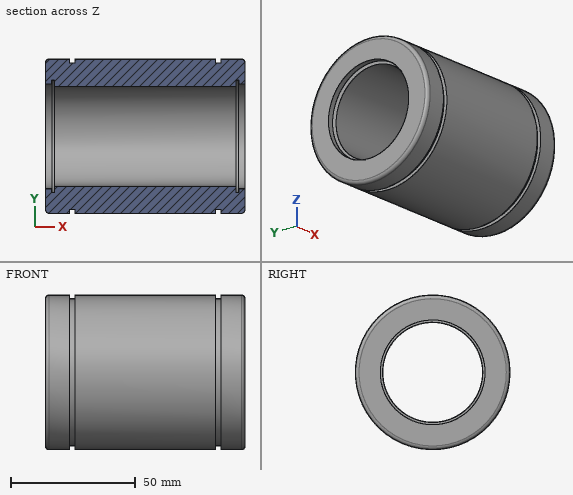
import cadquery as cq

length = 80.0
outer_diameter = 62.0
bore_diameter = 40.0
edge_radius = 1.5

groove_diameter = 59.0
groove_width = 2.15
groove_span = 60.6

mouth_diameter = 42.0
mouth_depth = 2.55
inner_groove_diameter = 45.0
inner_groove_width = 1.0


def cylinder(diameter, center_x, width):
    """Solid cylinder along X, centred at x = center_x."""
    start = center_x - width / 2
    return cq.Workplane("YZ", origin=(start, 0, 0)).circle(diameter / 2).extrude(width)


def sleeve():
    """Tube with rounded outer end edges."""
    body = cylinder(outer_diameter, 0, length).edges("%CIRCLE").fillet(edge_radius)
    return body.cut(cylinder(bore_diameter, 0, length))


def cut_outer_groove(body, side):
    """Cut the outer retaining-ring groove on the given side (-1 or +1) of mid-length."""
    center_x = side * (groove_span - groove_width) / 2
    ring = cylinder(outer_diameter, center_x, groove_width)
    ring = ring.cut(cylinder(groove_diameter, center_x, groove_width))
    return body.cut(ring)


def cut_bore_end(body, side):
    """Cut the mouth and the internal groove behind it at the given end (-1 or +1)."""
    mouth_center_x = side * (length - mouth_depth) / 2
    groove_center_x = side * (length / 2 - mouth_depth - inner_groove_width / 2)
    body = body.cut(cylinder(mouth_diameter, mouth_center_x, mouth_depth))
    return body.cut(cylinder(inner_groove_diameter, groove_center_x, inner_groove_width))


result = sleeve()
for side in (-1, 1):
    result = cut_outer_groove(result, side)
    result = cut_bore_end(result, side)